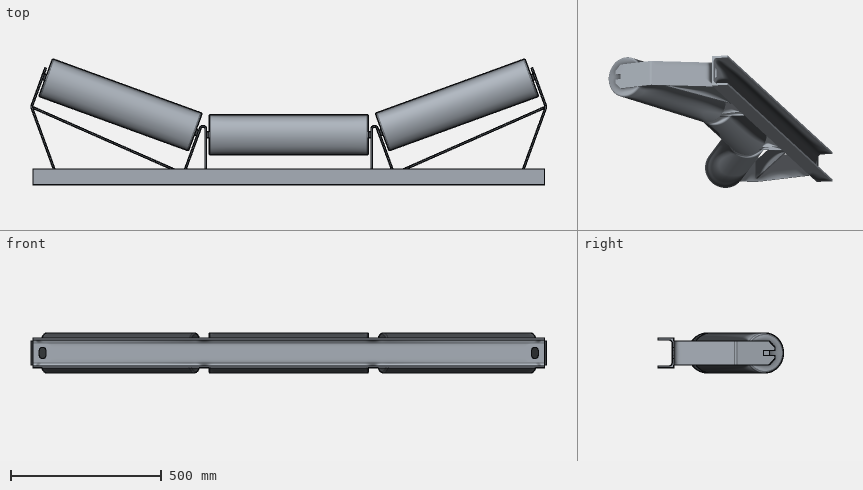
import cadquery as cq
import math


CHANNEL_LENGTH = 1701.0
CHANNEL_HEIGHT = 53.0
CHANNEL_WIDTH = 100.0
WEB_THICKNESS = 6.0
FLANGE_THICKNESS = 7.0
ROOT_FILLET = 10.0
MOUNT_SLOT_LENGTH = 38.0
MOUNT_SLOT_WIDTH = 22.0
MOUNT_SLOT_SPACING = 1636.0

ROLLER_LENGTH = 530.0
ROLLER_DIAMETER = 134.0
ROLLER_EDGE_RADIUS = 5.0
CENTRE_ROLLER_Y = 166.0
WING_ROLLER_X = 559.0
WING_ROLLER_Y = 265.0
WING_ANGLE = 20.0

TANG_THICKNESS = 17.0
TANG_HEIGHT = 20.0

PLATE_THICKNESS = 6.0
PLATE_WIDTH = 80.0
PLATE_GAP = 7.7
BEND_RADIUS = 12.0
PLATE_CORNER_CHAMFER = 20.0
END_BEND_Y = 259.0
END_PLATE_TOP = 390.0
INNER_PLATE_TOP = 197.0

STRUT_THICKNESS = 6.0
STRUT_WIDTH = 60.0
STRUT_FOOT_X = 388.0

PLATE_INNER_FACE = ROLLER_LENGTH / 2 + PLATE_GAP
PLATE_OUTER_FACE = PLATE_INNER_FACE + PLATE_THICKNESS
COS_WING = math.cos(math.radians(WING_ANGLE))
SIN_WING = math.sin(math.radians(WING_ANGLE))
TAN_WING = SIN_WING / COS_WING


def on_wing(along, above):
    """X and Y of a point given along and across the axis of the +X wing roller."""
    x = WING_ROLLER_X + along * COS_WING - above * SIN_WING
    y = WING_ROLLER_Y + along * SIN_WING + above * COS_WING
    return x, y


def wing_face_at_height(along, y):
    """Point at height y on the plane square to the wing roller axis at a distance along it."""
    above = (y - WING_ROLLER_Y - along * SIN_WING) / COS_WING
    return on_wing(along, above)


def extrude_plate(points, width):
    return cq.Workplane("XY", origin=(0, 0, -width / 2)).polyline(points).close().extrude(width)


def round_bend(plate, outer_corner, inner_corner):
    """Round both faces of a plate where it bends, about a common centre."""
    outer_edge = cq.NearestToPointSelector((*outer_corner, 0))
    inner_edge = cq.NearestToPointSelector((*inner_corner, 0))
    plate = plate.edges("|Z").edges(outer_edge).fillet(BEND_RADIUS)
    return plate.edges("|Z").edges(inner_edge).fillet(BEND_RADIUS - PLATE_THICKNESS)


def to_wing(body):
    """Move a body built about the origin along X onto the +X wing roller axis."""
    return body.rotate((0, 0, 0), (0, 0, 1), WING_ANGLE).translate((WING_ROLLER_X, WING_ROLLER_Y, 0))


def mirrored_pair(body):
    return [body, body.mirror("YZ")]


def make_channel():
    half_width = CHANNEL_WIDTH / 2
    channel = cq.Workplane("XY").box(
        CHANNEL_LENGTH, CHANNEL_HEIGHT, CHANNEL_WIDTH, centered=(True, False, True)
    )
    trough_depth = CHANNEL_HEIGHT - WEB_THICKNESS
    trough = (
        cq.Workplane("XY")
        .box(
            CHANNEL_LENGTH,
            trough_depth,
            2 * (half_width - FLANGE_THICKNESS),
            centered=(True, False, True),
        )
        .edges("|X and >Y")
        .fillet(ROOT_FILLET)
    )
    mount_slots = (
        cq.Workplane("XZ")
        .rarray(MOUNT_SLOT_SPACING, 17, 2, 1)
        .slot2D(MOUNT_SLOT_LENGTH, MOUNT_SLOT_WIDTH, 90)
        .extrude(-CHANNEL_HEIGHT)
    )
    return channel.cut(trough).cut(mount_slots)


def make_roller():
    """Roller about the X axis with a flat tang at each end that reaches through its plates."""
    shell = (
        cq.Workplane("YZ", origin=(-ROLLER_LENGTH / 2, 0, 0))
        .circle(ROLLER_DIAMETER / 2)
        .extrude(ROLLER_LENGTH)
        .edges("%CIRCLE")
        .fillet(ROLLER_EDGE_RADIUS)
    )
    tangs = cq.Workplane("XY").box(2 * PLATE_OUTER_FACE, TANG_HEIGHT, TANG_THICKNESS)
    return shell.union(tangs)


def make_tang_slots():
    """Upward-open slots for both tangs of a roller about the X axis."""
    reach = 2 * (PLATE_OUTER_FACE + PLATE_THICKNESS)
    return (
        cq.Workplane("XY")
        .box(reach, ROLLER_DIAMETER, TANG_THICKNESS, centered=(True, False, True))
        .translate((0, -TANG_HEIGHT / 2, 0))
    )


def end_bend_point(along):
    """Corner of the end plate where its leaning legs meet, on the given face of the plate."""
    return wing_face_at_height(along, END_BEND_Y)


def end_foot_point(along):
    bend_x, bend_y = end_bend_point(along)
    return bend_x - (bend_y - CHANNEL_HEIGHT) * TAN_WING, CHANNEL_HEIGHT


def make_end_plate():
    """Outer support: a foot leaning outwards, then a leg square to the wing roller."""
    tip_above = (END_PLATE_TOP - WING_ROLLER_Y - PLATE_OUTER_FACE * SIN_WING) / COS_WING
    outline = [
        end_foot_point(PLATE_OUTER_FACE),
        end_bend_point(PLATE_OUTER_FACE),
        on_wing(PLATE_OUTER_FACE, tip_above),
        on_wing(PLATE_INNER_FACE, tip_above),
        end_bend_point(PLATE_INNER_FACE),
        end_foot_point(PLATE_INNER_FACE),
    ]
    plate = extrude_plate(outline, PLATE_WIDTH)
    plate = round_bend(plate, end_bend_point(PLATE_OUTER_FACE), end_bend_point(PLATE_INNER_FACE))
    tip_x, tip_y = on_wing(PLATE_OUTER_FACE - PLATE_THICKNESS / 2, tip_above)
    for side in (-1, 1):
        corner = (tip_x, tip_y, side * PLATE_WIDTH / 2)
        plate = plate.edges(cq.NearestToPointSelector(corner)).chamfer(PLATE_CORNER_CHAMFER)
    return plate.cut(to_wing(make_tang_slots()))


def make_inner_plate():
    """Support between rollers: an upright leg, a bridge and a leg square to the wing roller."""
    under_bridge = INNER_PLATE_TOP - PLATE_THICKNESS
    upright_bend = (PLATE_INNER_FACE, INNER_PLATE_TOP), (PLATE_OUTER_FACE, under_bridge)
    leaning_bend = (
        wing_face_at_height(-PLATE_INNER_FACE, INNER_PLATE_TOP),
        wing_face_at_height(-PLATE_OUTER_FACE, under_bridge),
    )
    outline = [
        (PLATE_INNER_FACE, CHANNEL_HEIGHT),
        upright_bend[0],
        leaning_bend[0],
        wing_face_at_height(-PLATE_INNER_FACE, CHANNEL_HEIGHT),
        wing_face_at_height(-PLATE_OUTER_FACE, CHANNEL_HEIGHT),
        leaning_bend[1],
        upright_bend[1],
        (PLATE_OUTER_FACE, CHANNEL_HEIGHT),
    ]
    plate = extrude_plate(outline, PLATE_WIDTH)
    plate = round_bend(plate, *upright_bend)
    plate = round_bend(plate, *leaning_bend)
    plate = plate.cut(make_tang_slots().translate((0, CENTRE_ROLLER_Y, 0)))
    return plate.cut(to_wing(make_tang_slots()))


def make_strut(end_plate):
    """Flat bar from the channel to the inside of the end plate's bend."""
    head_x, head_y = end_bend_point((PLATE_INNER_FACE + PLATE_OUTER_FACE) / 2)
    slope = math.atan2(head_y - CHANNEL_HEIGHT, head_x - STRUT_FOOT_X)
    half_rise = STRUT_THICKNESS / 2 / math.cos(slope)
    half_foot = STRUT_THICKNESS / 2 / math.sin(slope)
    outline = [
        (STRUT_FOOT_X - half_foot, CHANNEL_HEIGHT),
        (STRUT_FOOT_X + half_foot, CHANNEL_HEIGHT),
        (head_x, head_y - half_rise),
        (head_x, head_y + half_rise),
    ]
    return extrude_plate(outline, STRUT_WIDTH).cut(end_plate)


channel = make_channel()
centre_roller = make_roller().translate((0, CENTRE_ROLLER_Y, 0))
wing_rollers = mirrored_pair(to_wing(make_roller()))
end_plate = make_end_plate()
end_plates = mirrored_pair(end_plate)
inner_plates = mirrored_pair(make_inner_plate())
struts = mirrored_pair(make_strut(end_plate))

bodies = [channel, centre_roller, *wing_rollers, *end_plates, *inner_plates, *struts]
result = cq.Compound.makeCompound([body.val() for body in bodies])